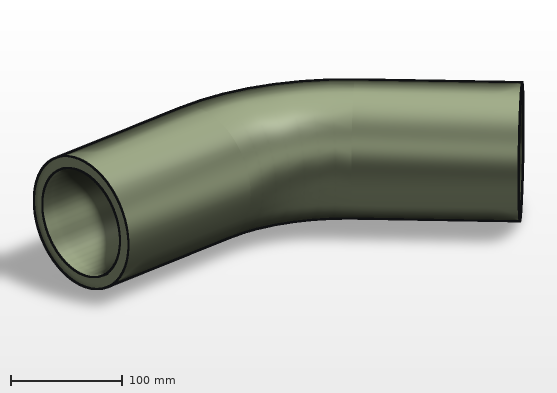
import cadquery as cq
import math

overall_length = 433.0
outer_diameter = 125.0
wall_thickness = 11.3
leg_length = 150.0
bend_angle = 45.0

outer_radius = outer_diameter / 2
inner_radius = outer_radius - wall_thickness
sin_bend = math.sin(math.radians(bend_angle))
cos_bend = math.cos(math.radians(bend_angle))

straight_length_y = leg_length * (1 + cos_bend) + outer_radius * sin_bend
bend_radius = (overall_length - straight_length_y) / sin_bend

bend_start = (0, leg_length)
bend_middle = (
    bend_radius * (1 - math.cos(math.radians(bend_angle / 2))),
    leg_length + bend_radius * math.sin(math.radians(bend_angle / 2)),
)
bend_end = (
    bend_radius * (1 - cos_bend),
    leg_length + bend_radius * sin_bend,
)
pipe_end = (
    bend_end[0] + leg_length * sin_bend,
    bend_end[1] + leg_length * cos_bend,
)

centreline = (
    cq.Workplane("XY")
    .lineTo(*bend_start)
    .threePointArc(bend_middle, bend_end)
    .lineTo(*pipe_end)
)

result = cq.Workplane("XZ").circle(outer_radius).circle(inner_radius).sweep(centreline)